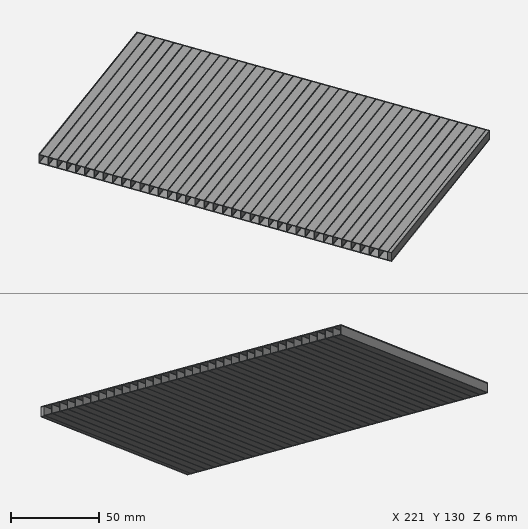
import cadquery as cq

length = 221.0
width = 130.0
wall = 0.25
edge_strip = 2.5
channel_count = 38

rib_pitch = (length - edge_strip) / channel_count

channel_size = rib_pitch - wall
height = channel_size + 2 * wall

first_channel_x = -length / 2 + wall + channel_size / 2
channel_centres = [(first_channel_x + index * rib_pitch, 0) for index in range(channel_count)]

sheet = cq.Workplane("XY").box(length, width, height)

channels = cq.Workplane("XY").pushPoints(channel_centres).box(channel_size, width, channel_size)

result = sheet.cut(channels)